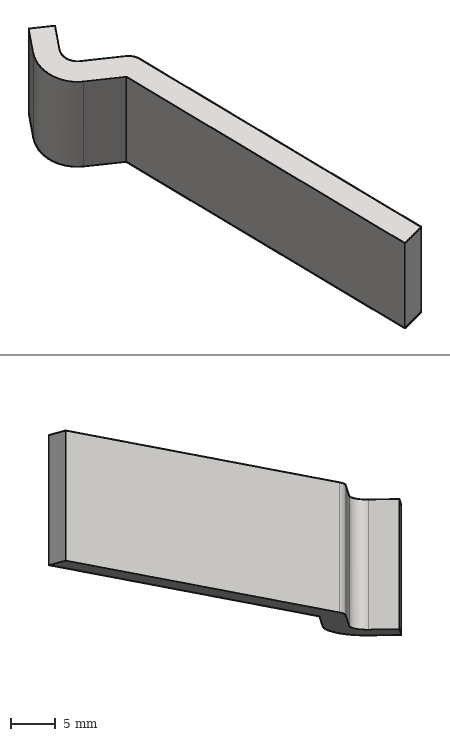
import cadquery as cq
import math

overall_length = 52.53
strip_width = 15.0
thickness = 3.0
hook_inner_radius = 2.0
tip_length = 3.5
knee_outer_radius = 2.0

ramp_angle = math.radians(45.9)
hook_turn = math.radians(90)
tip_angle = hook_turn - ramp_angle

hook_outer_radius = hook_inner_radius + thickness

front_face_y = 0.0
back_face_y = front_face_y + thickness


def ramp_tangent(radius):
    """Point where the hook arc of the given radius runs into the ramp."""
    return (radius * math.sin(ramp_angle), -radius * math.cos(ramp_angle))


def tip_tangent(radius):
    """Point where the hook arc of the given radius runs into the tip leg."""
    return (-radius * math.sin(tip_angle), -radius * math.cos(tip_angle))


def tip_end(radius):
    """Free end of the tip leg, tangent to the hook arc of the given radius."""
    start_x, start_y = tip_tangent(radius)
    return (
        start_x - tip_length * math.cos(tip_angle),
        start_y + tip_length * math.sin(tip_angle),
    )


def ramp_at(radius, y):
    """Point at height y on the ramp line tangent to the hook arc of the given radius."""
    start_x, start_y = ramp_tangent(radius)
    return (start_x + (y - start_y) / math.tan(ramp_angle), y)


def strip_profile():
    """Bent strip outline, with the knee left sharp on both faces."""
    strip_end_x = tip_end(hook_outer_radius)[0] + overall_length
    return (
        cq.Workplane("XY")
        .moveTo(*tip_end(hook_outer_radius))
        .lineTo(*tip_tangent(hook_outer_radius))
        .threePointArc((0, -hook_outer_radius), ramp_tangent(hook_outer_radius))
        .lineTo(*ramp_at(hook_outer_radius, front_face_y))
        .lineTo(strip_end_x, front_face_y)
        .lineTo(strip_end_x, back_face_y)
        .lineTo(*ramp_at(hook_inner_radius, back_face_y))
        .lineTo(*ramp_tangent(hook_inner_radius))
        .threePointArc((0, -hook_inner_radius), tip_tangent(hook_inner_radius))
        .lineTo(*tip_end(hook_inner_radius))
        .close()
    )


def round_knee(strip):
    """Round the outside of the knee where the ramp meets the back face."""
    knee_x, knee_y = ramp_at(hook_inner_radius, back_face_y)
    knee_edge = cq.selectors.NearestToPointSelector((knee_x, knee_y, strip_width / 2))
    return strip.edges(knee_edge).fillet(knee_outer_radius)


result = round_knee(strip_profile().extrude(strip_width))